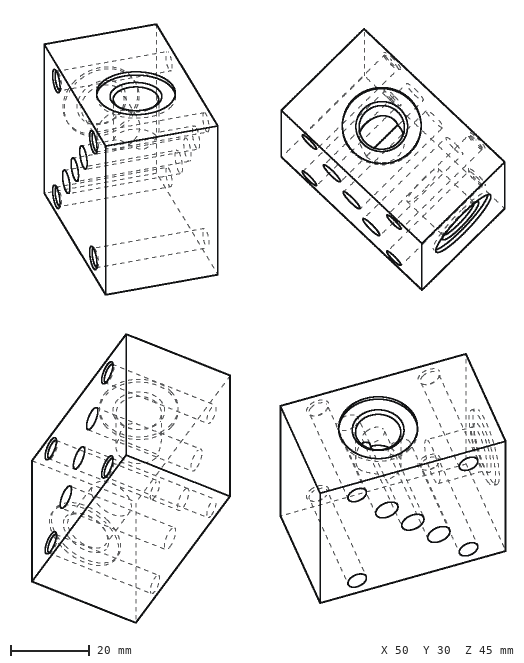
import cadquery as cq

LENGTH = 50.0
WIDTH = 30.0
HEIGHT = 45.0

MOUNT_DIAMETER = 5.0
MOUNT_CHAMFER = 0.5
MOUNT_SPACING_X = 30.0
MOUNT_SPACING_Z = 35.0

PASSAGE_DIAMETER = 6.0
PASSAGE_STEP_X = 7.0
PASSAGE_STEP_Z = 8.0

SPOTFACE_DIAMETER = 20.0
SPOTFACE_DEPTH = 1.0
PORT_DIAMETER = 11.5
PORT_MOUTH_DIAMETER = 13.15
TOP_PORT_X = 4.0
SIDE_PORT_Z = 2.5
PORT_DEPTH = HEIGHT / 2 - PASSAGE_STEP_Z


def port_cutter(origin, direction):
    """Stepped cutter starting at the block face and running inwards."""
    bore_radius = PORT_DIAMETER / 2
    mouth_radius = PORT_MOUTH_DIAMETER / 2
    chamfer_end = SPOTFACE_DEPTH + mouth_radius - bore_radius
    profile = (
        cq.Workplane("XZ")
        .lineTo(SPOTFACE_DIAMETER / 2, 0)
        .lineTo(SPOTFACE_DIAMETER / 2, SPOTFACE_DEPTH)
        .lineTo(mouth_radius, SPOTFACE_DEPTH)
        .lineTo(bore_radius, chamfer_end)
        .lineTo(bore_radius, PORT_DEPTH)
        .lineTo(0, PORT_DEPTH)
        .close()
    )
    cutter = profile.revolve(360, (0, 0, 0), (0, 1, 0)).val()
    return cutter.moved(cq.Plane(origin=origin, normal=direction).location)


block = cq.Workplane("XY").box(LENGTH, WIDTH, HEIGHT)

mount_holes = (
    block.faces("<Y").workplane(centerOption="CenterOfBoundBox")
    .rarray(MOUNT_SPACING_X, MOUNT_SPACING_Z, 2, 2)
)
mount_mouth = MOUNT_DIAMETER + 2 * MOUNT_CHAMFER
block = mount_holes.cskHole(MOUNT_DIAMETER, mount_mouth, 90)

passage_points = [(i * PASSAGE_STEP_X, i * PASSAGE_STEP_Z) for i in (-1, 0, 1)]
block = (
    block.faces("<Y").workplane(centerOption="CenterOfBoundBox")
    .pushPoints(passage_points)
    .hole(PASSAGE_DIAMETER)
)

top_port = port_cutter((TOP_PORT_X, 0, HEIGHT / 2), (0, 0, -1))
side_port = port_cutter((-LENGTH / 2, 0, SIDE_PORT_Z), (1, 0, 0))
result = block.cut(cq.Workplane(top_port)).cut(cq.Workplane(side_port))